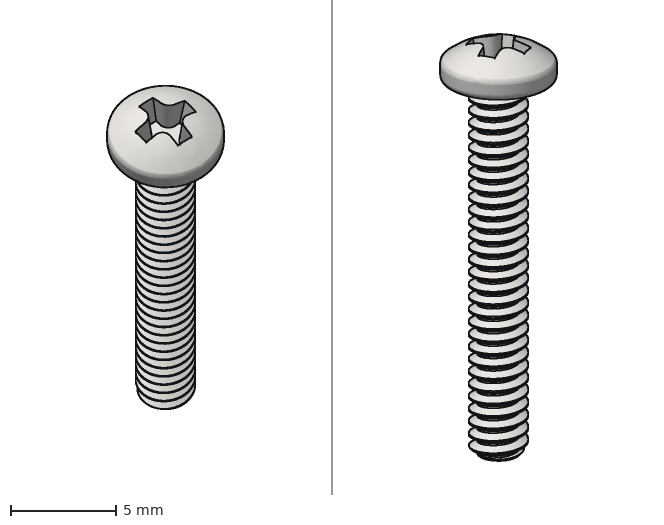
import cadquery as cq
import math

head_diameter = 5.57
shank_length = 19.04

crown_height = 2.05
crown_edge_height = 1.03
upper_rim_radius = 0.32
lower_rim_radius = 0.38

recess_floor_height = 0.46
recess_floor_span = 2.23
recess_floor_width = 0.63
recess_mouth_height = 1.76
recess_mouth_span = 2.98
recess_mouth_width = 0.85
recess_corner_radius = 0.5

thread_diameter = 2.84
thread_turns = 30
thread_pitch = shank_length / thread_turns
crest_width = thread_pitch / 8
flank_angle = math.radians(30)
root_diameter = 2.04
flank_height = (thread_diameter - root_diameter) / 2 * math.tan(flank_angle)
root_width = thread_pitch - crest_width - 2 * flank_height
first_crest = 0.5
first_root = first_crest - crest_width / 2 - flank_height - root_width
turns_below_tip = 2
turns_above_shank = 1
head_overlap = 0.2
tip_diameter = 1.97
tip_angle = math.radians(45)


def make_head():
    """Domed disc with rounded upper and lower rims."""
    radius = head_diameter / 2
    rise = crown_height - crown_edge_height
    dome_radius = (radius**2 + rise**2) / (2 * rise)
    mid_height = crown_height - dome_radius + math.sqrt(dome_radius**2 - (radius / 2) ** 2)
    blank = (
        cq.Workplane("XZ")
        .lineTo(radius, 0)
        .lineTo(radius, crown_edge_height)
        .threePointArc((radius / 2, mid_height), (0, crown_height))
        .close()
        .revolve(360, (0, 0, 0), (0, 1, 0))
    )
    near_edge = 0.02
    upper_rim = cq.selectors.BoxSelector(
        (-radius, -radius, crown_edge_height - near_edge), (radius, radius, crown_edge_height + near_edge)
    )
    return blank.faces("<Z").edges().fillet(lower_rim_radius).edges(upper_rim).fillet(upper_rim_radius)


def cross_wire(height, span, width):
    """Cross outline with rounded inner corners at the given height."""
    reach = span / 2
    side = width / 2
    bend = side + recess_corner_radius
    bend_middle = bend - recess_corner_radius * math.sqrt(0.5)
    outline = cq.Workplane("XY", origin=(0, 0, height)).moveTo(reach, -side)
    for quarter in range(4):
        cos_turn = round(math.cos(quarter * math.pi / 2))
        sin_turn = round(math.sin(quarter * math.pi / 2))

        def turned(x, y):
            return (x * cos_turn - y * sin_turn, x * sin_turn + y * cos_turn)

        outline = (
            outline.lineTo(*turned(reach, side))
            .lineTo(*turned(bend, side))
            .threePointArc(turned(bend_middle, bend_middle), turned(side, bend))
            .lineTo(*turned(side, reach))
        )
    return outline.close().val()


def make_recess():
    """Tapered cross, widening from its floor to above the dome."""
    extension = (crown_height - recess_floor_height) / (recess_mouth_height - recess_floor_height)
    top_span = recess_floor_span + extension * (recess_mouth_span - recess_floor_span)
    top_width = recess_floor_width + extension * (recess_mouth_width - recess_floor_width)
    floor = cross_wire(recess_floor_height, recess_floor_span, recess_floor_width)
    top = cross_wire(crown_height, top_span, top_width)
    return cq.Workplane(cq.Solid.makeLoft([floor, top], True))


def thread_profile(base_height):
    """Corners, as radius and height, of one thread pitch from root to root."""
    root_radius = root_diameter / 2
    crest_radius = thread_diameter / 2
    flank_top = base_height + root_width + flank_height
    return [
        (root_radius, base_height),
        (root_radius, base_height + root_width),
        (crest_radius, flank_top),
        (crest_radius, flank_top + crest_width),
        (root_radius, base_height + thread_pitch),
    ]


def helix_turn(radius, height):
    """One right-handed turn starting at the +X side."""
    return cq.Wire.makeHelix(thread_pitch, thread_pitch, radius, cq.Vector(0, 0, height)).Edges()[0]


def thread_end(base_height):
    """Faces closing an end of the rod: a one-turn ramp and the step at the +X side."""
    profile = thread_profile(base_height)
    axis_bottom = cq.Vector(0, 0, base_height)
    axis_top = cq.Vector(0, 0, base_height + thread_pitch)
    ramp = cq.Face.makeRuledSurface(
        cq.Edge.makeLine(axis_bottom, axis_top), helix_turn(*profile[0])
    )
    step_points = [axis_bottom] + [cq.Vector(radius, 0, height) for radius, height in profile] + [axis_top]
    step = cq.Face.makeFromWires(cq.Wire.makePolygon(step_points, close=True))
    return [ramp, step]


def make_threaded_rod():
    """Threaded rod reaching past both ends of the shank, built from its helical faces."""
    bottom = first_root - turns_below_tip * thread_pitch - shank_length
    turns = turns_below_tip + thread_turns + turns_above_shank
    faces = thread_end(bottom) + thread_end(bottom + turns * thread_pitch)
    for turn in range(turns):
        profile = thread_profile(bottom + turn * thread_pitch)
        for lower, upper in zip(profile, profile[1:]):
            faces.append(cq.Face.makeRuledSurface(helix_turn(*lower), helix_turn(*upper)))
    return cq.Workplane(cq.Solid.makeSolid(cq.Shell.makeShell(faces)))


def make_shank():
    """Threaded rod trimmed to length, with a chamfered tip."""
    clear_radius = thread_diameter
    slope_height = (clear_radius - tip_diameter / 2) * math.tan(tip_angle)
    envelope = (
        cq.Workplane("XZ", origin=(0, 0, -shank_length))
        .lineTo(tip_diameter / 2, 0)
        .lineTo(clear_radius, slope_height)
        .lineTo(clear_radius, shank_length + head_overlap)
        .lineTo(0, shank_length + head_overlap)
        .close()
        .revolve(360, (0, 0, 0), (0, 1, 0))
    )
    return make_threaded_rod().intersect(envelope)


result = make_head().cut(make_recess()).union(make_shank())